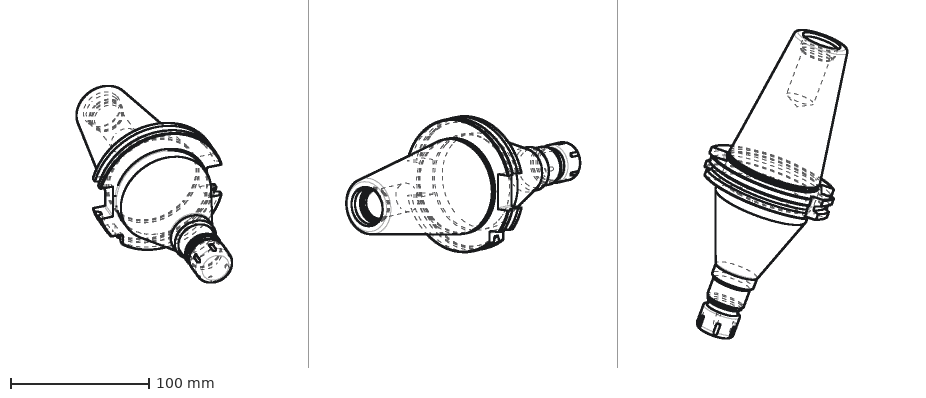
import cadquery as cq
import math

overall_length = 231.5

gauge_x = 101.0
gauge_radius = 35.0
taper_half_slope = 7 / 48
small_end_radius = gauge_radius - taper_half_slope * gauge_x
small_end_fillet = 2.3

relief_radius = 34.0
relief_floor_start = 102.0
relief_floor_end = 103.5
relief_end = 104.2

flange_start = 104.7
flange_end = 120.7
flange_diameter = 97.5
flange_radius = flange_diameter / 2
flange_chamfer = 0.58
flange_root_fillet = 1.0
v_groove_center = 112.8
v_groove_mouth = 6.3
v_groove_floor = 3.0
v_groove_depth = 3.2

slot_width = 25.7
slot_corner = 1.0
deep_slot_floor = 35.5
shallow_slot_floor = 37.3
notch_y = 29.6
notch_z = 29.6
notch_corner = 1.9

body_radius = gauge_radius
cone_start = 130.6
cone_end = 181.3
cone_end_radius = 16.7
collar_radius = 16.0
collar_start = 182.7
collar_end = 190.5
nose_diameter = 28.0
nose_radius = nose_diameter / 2
nose_start = 192.7
nose_end = 206.4
nose_tip_radius = 13.0
nose_tip_start = 207.0
nose_tip_end = 208.7
neck_start = 209.8
neck_diameter = 23.5
neck_radius = neck_diameter / 2

nut_start = 213.5
nut_radius = nose_radius
nut_back_fillet = 1.5
nut_front_fillet = 3.7
nut_slot_count = 6
nut_slot_first_angle = 30.0
nut_slot_width = 3.0
nut_slot_start = 221.2
nut_slot_depth = 0.7

countersink_radius = 14.4
countersink_depth = 2.5
pilot_radius = 13.2
pilot_depth = 8.3
thread_relief_radius = 12.5
thread_relief_depth = 10.7
thread_chamfer_radius = 11.5
thread_chamfer_length = 1.5
thread_radius = 10.5
thread_depth = 46.3
drill_tip_half_angle = 59.0

AXIAL_PLANE = cq.Plane(origin=(0, 0, 0), xDir=(1, 0, 0), normal=(0, 0, -1))


def revolve_about_x(outline):
    """Revolve an axial outline, closed along the axis, a full turn about the X axis."""
    return outline.close().revolve(360, (0, 0, 0), (1, 0, 0))


def holder_blank():
    """Turned holder body with its flange, before the slots and the bore are cut."""
    outline = (
        cq.Workplane(AXIAL_PLANE)
        .moveTo(0, 0)
        .lineTo(0, small_end_radius)
        .lineTo(gauge_x, gauge_radius)
        .lineTo(relief_floor_start, relief_radius)
        .lineTo(relief_floor_end, relief_radius)
        .lineTo(relief_end, gauge_radius)
        .lineTo(flange_start, gauge_radius)
        .lineTo(flange_start, flange_radius - flange_chamfer)
        .lineTo(flange_start + flange_chamfer, flange_radius)
        .lineTo(v_groove_center - v_groove_mouth / 2, flange_radius)
        .lineTo(v_groove_center - v_groove_floor / 2, flange_radius - v_groove_depth)
        .lineTo(v_groove_center + v_groove_floor / 2, flange_radius - v_groove_depth)
        .lineTo(v_groove_center + v_groove_mouth / 2, flange_radius)
        .lineTo(flange_end - flange_chamfer, flange_radius)
        .lineTo(flange_end, flange_radius - flange_chamfer)
        .lineTo(flange_end, body_radius + flange_root_fillet)
        .radiusArc((flange_end + flange_root_fillet, body_radius), -flange_root_fillet)
        .lineTo(cone_start, body_radius)
        .lineTo(cone_end, cone_end_radius)
        .lineTo(collar_start, collar_radius)
        .lineTo(collar_end, collar_radius)
        .lineTo(nose_start, nose_radius)
        .lineTo(nose_end, nose_radius)
        .lineTo(nose_tip_start, nose_tip_radius)
        .lineTo(nose_tip_end, nose_tip_radius)
        .lineTo(neck_start, neck_radius)
        .lineTo(nut_start, neck_radius)
        .lineTo(nut_start, 0)
    )
    return revolve_about_x(outline).faces("<X").edges().fillet(small_end_fillet)


def flange_cut(y_start, y_end, z_start, z_end, corner_edges, corner_radius):
    """Box through the flange thickness, rounded along the chosen inner corners."""
    box = cq.Workplane("XY").box(
        flange_end - flange_start, y_end - y_start, z_end - z_start, centered=False
    )
    box = box.translate((flange_start, y_start, z_start))
    return box.edges(corner_edges).fillet(corner_radius)


def drawbar_bore():
    """Stepped blind bore: countersink, pilot, thread relief, thread and drill tip."""
    thread_start = thread_relief_depth + thread_chamfer_length
    tip_length = thread_radius / math.tan(math.radians(drill_tip_half_angle))
    outline = (
        cq.Workplane(AXIAL_PLANE)
        .moveTo(0, 0)
        .lineTo(0, countersink_radius)
        .lineTo(countersink_depth, pilot_radius)
        .lineTo(pilot_depth, pilot_radius)
        .lineTo(pilot_depth, thread_relief_radius)
        .lineTo(thread_relief_depth, thread_relief_radius)
        .lineTo(thread_relief_depth, thread_chamfer_radius)
        .lineTo(thread_start, thread_radius)
        .lineTo(thread_depth, thread_radius)
        .lineTo(thread_depth + tip_length, 0)
    )
    return revolve_about_x(outline)


def make_holder():
    half_slot = slot_width / 2
    deep_slot = flange_cut(deep_slot_floor, flange_radius, -half_slot, half_slot, "|X and <Y", slot_corner)
    shallow_slot = flange_cut(
        -flange_radius, -shallow_slot_floor, -half_slot, half_slot, "|X and >Y", slot_corner
    )
    notch = flange_cut(
        -flange_radius, -notch_y, -flange_radius, -notch_z, "|X and >Y and >Z", notch_corner
    )
    return holder_blank().cut(deep_slot).cut(shallow_slot).cut(notch).cut(drawbar_bore())


def nut_slot(angle):
    """Round-bottomed spanner slot, cut by a cylinder along X that runs out at the front."""
    cutter_radius = (nut_slot_width ** 2 / 4 + nut_slot_depth ** 2) / (2 * nut_slot_depth)
    cutter_offset = nut_radius - nut_slot_depth + cutter_radius
    slot = cq.Workplane("YZ", origin=(nut_slot_start, 0, 0)).center(cutter_offset, 0)
    slot = slot.circle(cutter_radius).extrude(overall_length - nut_slot_start)
    return slot.rotate((0, 0, 0), (1, 0, 0), angle)


def make_nut():
    nut = cq.Workplane("YZ", origin=(nut_start, 0, 0)).circle(nut_radius)
    nut = nut.extrude(overall_length - nut_start)
    nut = nut.faces("<X").edges().fillet(nut_back_fillet)
    nut = nut.faces(">X").edges().fillet(nut_front_fillet)
    for index in range(nut_slot_count):
        nut = nut.cut(nut_slot(nut_slot_first_angle + index * 360 / nut_slot_count))
    return nut


holder = make_holder()
nut = make_nut()
result = cq.Compound.makeCompound([holder.val(), nut.val()])